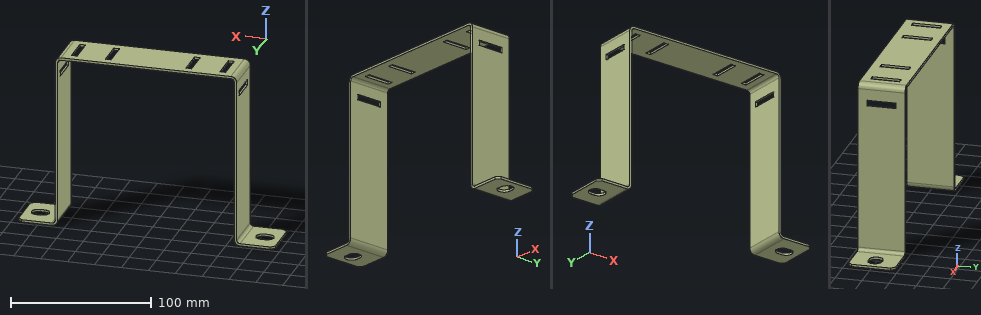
import cadquery as cq

length = 191.0
width = 35.0
height = 130.0
thickness = 2.0

bridge_length = 135.0
inner_bend_radius = 2.5

corner_chamfer = 3.0
foot_hole_length = 13.0
foot_hole_width = 10.0
foot_hole_x = 83.5

slot_length = 21.2
slot_width = 4.0
inner_slot_x = 30.0
outer_slot_x = 55.2
leg_slot_drop = 14.9


def make_strip():
    """Hat-shaped bent strip, centred on X and Y, with its feet standing on Z = 0."""
    leg_outer_x = bridge_length / 2
    leg_middle_x = leg_outer_x - thickness / 2
    top_z = height - thickness / 2
    foot_z = thickness / 2
    bend = inner_bend_radius + thickness / 2
    half_length = length / 2

    centreline = (
        cq.Workplane("XZ")
        .moveTo(-half_length, foot_z)
        .lineTo(-leg_middle_x - bend, foot_z)
        .tangentArcPoint((-leg_middle_x, foot_z + bend), relative=False)
        .lineTo(-leg_middle_x, top_z - bend)
        .tangentArcPoint((-leg_middle_x + bend, top_z), relative=False)
        .lineTo(leg_middle_x - bend, top_z)
        .tangentArcPoint((leg_middle_x, top_z - bend), relative=False)
        .lineTo(leg_middle_x, foot_z + bend)
        .tangentArcPoint((leg_middle_x + bend, foot_z), relative=False)
        .lineTo(half_length, foot_z)
    )
    return (
        cq.Workplane("YZ", origin=(-half_length, 0, foot_z))
        .rect(width, thickness)
        .sweep(centreline)
    )


def foot_holes():
    """Oblong mounting holes through both feet."""
    return (
        cq.Workplane("XY")
        .pushPoints([(-foot_hole_x, 0), (foot_hole_x, 0)])
        .slot2D(foot_hole_length, foot_hole_width)
        .extrude(thickness)
    )


def bridge_slots():
    """Four strap slots through the bridge, in mirrored pairs."""
    positions = [(side * x, 0) for side in (-1, 1) for x in (inner_slot_x, outer_slot_x)]
    return (
        cq.Workplane("XY", origin=(0, 0, height - thickness))
        .pushPoints(positions)
        .rect(slot_width, slot_length)
        .extrude(thickness)
    )


def leg_slots():
    """One strap slot in line through both legs."""
    return (
        cq.Workplane("XY", origin=(0, 0, height - leg_slot_drop))
        .box(bridge_length, slot_length, slot_width)
    )


strip = make_strip().edges("|Z and (<X or >X)").chamfer(corner_chamfer)
result = strip.cut(foot_holes()).cut(bridge_slots()).cut(leg_slots())